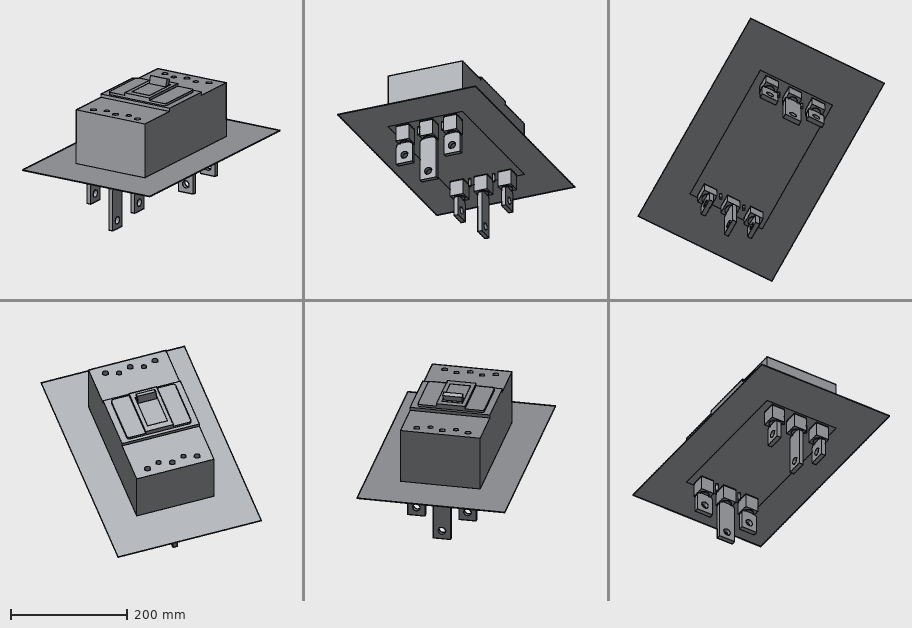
import cadquery as cq
import math


PANEL_X = 260.0
PANEL_Y = 416.0
PANEL_THICKNESS = 1.2

CASE_X = 140.0
CASE_Y = 260.5
CASE_HEIGHT = 97.8
STEP_Y = 102.5
STEP_HEIGHT = 6.0

COVER_X = 116.5
COVER_Y = 90.5
COVER_THICKNESS = 4.0
COVER_CORNER_RADIUS = 5.0
BAND_X = 50.5
BAND_THICKNESS = 4.5

WINDOW_X = 36.0
WINDOW_Y = 68.0
WINDOW_DEPTH = 0.2
LEVER_X = 33.5
LEVER_THICKNESS = 8.5
LEVER_TILT = math.radians(20)
LEVER_FRONT_Y = 19.5
LEVER_TOP_Z = 125.2

POLE_PITCH = 45.0
TERMINAL_Y = 114.0
TERMINAL_HOLE_DIAMETER = 10.0
MOUNTING_Y = 107.0
MOUNTING_HOLE_DIAMETER = 8.7
HOLE_FLOOR_Z = 16.5

SCREW_HEAD_HEIGHT = 5.0
SCREW_DIAMETER = 4.5
SCREW_END_Z = -14.5

BLOCK_SIDE = 24.5
BLOCK_END_Z = -28.5
NECK_DIAMETER = 18.7
NECK_LENGTH = 1.5
BLADE_WIDTH = 30.5
BLADE_THICKNESS = 8.0
BLADE_CORNER_RADIUS = 7.0
BLADE_HOLE_DIAMETER = 13.0
OUTER_BLADE_END_Z = -69.0
CENTRE_BLADE_END_Z = -109.5

STEP_TOP_Z = CASE_HEIGHT + STEP_HEIGHT
COVER_TOP_Z = STEP_TOP_Z + COVER_THICKNESS
BAND_TOP_Z = COVER_TOP_Z + BAND_THICKNESS
WINDOW_FLOOR_Z = BAND_TOP_Z - WINDOW_DEPTH
BLADE_TOP_Z = BLOCK_END_Z - NECK_LENGTH
ROW_SIDES = (-1, 1)
POLES = (-1, 0, 1)
STUD_POINTS = [(pole * POLE_PITCH, side * TERMINAL_Y) for side in ROW_SIDES for pole in POLES]
SCREW_POINTS = [(gap * POLE_PITCH / 2, side * MOUNTING_Y) for side in ROW_SIDES for gap in (-1, 1)]


def block(x_size, y_size, bottom_z, top_z):
    """A box centred on the Z axis between two heights."""
    return cq.Workplane("XY").workplane(offset=bottom_z).rect(x_size, y_size).extrude(top_z - bottom_z)


def rods(points, diameter, bottom_z, top_z):
    """Upright cylinders at the given points between two heights."""
    base = cq.Workplane("XY").workplane(offset=bottom_z).pushPoints(points)
    return base.circle(diameter / 2).extrude(top_z - bottom_z)


def make_panel():
    panel = block(PANEL_X, PANEL_Y, -PANEL_THICKNESS, 0)
    openings = cq.Workplane("XY").workplane(offset=-PANEL_THICKNESS).pushPoints(STUD_POINTS)
    panel = panel.cut(openings.rect(BLOCK_SIDE, BLOCK_SIDE).extrude(PANEL_THICKNESS))
    return panel.cut(rods(SCREW_POINTS, SCREW_DIAMETER, -PANEL_THICKNESS, 0))


def make_cover():
    """Round-cornered cover whose central band stands higher than its two sides."""
    cover = block(COVER_X, COVER_Y, STEP_TOP_Z, COVER_TOP_Z).edges("|Z").fillet(COVER_CORNER_RADIUS)
    band = block(BAND_X, COVER_Y, STEP_TOP_Z, BAND_TOP_Z)
    window = block(WINDOW_X, WINDOW_Y, WINDOW_FLOOR_Z, BAND_TOP_Z)
    return cover.union(band).cut(window)


def make_lever():
    """Lever leaning toward +Y, with its end face square to its sides."""
    front_top_y = LEVER_FRONT_Y + (LEVER_TOP_Z - WINDOW_FLOOR_Z) * math.tan(LEVER_TILT)
    back_top_y = front_top_y + LEVER_THICKNESS * math.cos(LEVER_TILT)
    back_top_z = LEVER_TOP_Z - LEVER_THICKNESS * math.sin(LEVER_TILT)
    back_y = LEVER_FRONT_Y + LEVER_THICKNESS / math.cos(LEVER_TILT)
    outline = [
        (LEVER_FRONT_Y, WINDOW_FLOOR_Z),
        (front_top_y, LEVER_TOP_Z),
        (back_top_y, back_top_z),
        (back_y, WINDOW_FLOOR_Z),
    ]
    return cq.Workplane("YZ").polyline(outline).close().extrude(LEVER_X / 2, both=True)


def make_stud(blade_end_z, blade_turn):
    """Stud on the Z axis; the blade is flat to the Y axis before it is turned."""
    stud = block(BLOCK_SIDE, BLOCK_SIDE, BLOCK_END_Z, 0)
    stud = stud.union(rods([(0, 0)], NECK_DIAMETER, BLADE_TOP_Z, BLOCK_END_Z))
    blade = block(BLADE_WIDTH, BLADE_THICKNESS, blade_end_z, BLADE_TOP_Z)
    blade = blade.edges("|Y and >Z").fillet(BLADE_CORNER_RADIUS)
    hole = cq.Workplane("XZ").center(0, blade_end_z + BLADE_WIDTH / 2).circle(BLADE_HOLE_DIAMETER / 2)
    blade = blade.cut(hole.extrude(BLADE_THICKNESS, both=True))
    return stud.union(blade.rotate((0, 0, 0), (0, 0, 1), blade_turn))


def make_breaker():
    breaker = block(CASE_X, CASE_Y, 0, CASE_HEIGHT)
    breaker = breaker.union(block(CASE_X, STEP_Y, CASE_HEIGHT, STEP_TOP_Z))
    breaker = breaker.union(make_cover()).union(make_lever())

    breaker = breaker.cut(rods(STUD_POINTS, TERMINAL_HOLE_DIAMETER, HOLE_FLOOR_Z, CASE_HEIGHT))
    breaker = breaker.cut(rods(SCREW_POINTS, MOUNTING_HOLE_DIAMETER, HOLE_FLOOR_Z, CASE_HEIGHT))
    breaker = breaker.cut(rods(SCREW_POINTS, SCREW_DIAMETER, 0, HOLE_FLOOR_Z))

    for x, y in STUD_POINTS:
        blade_end_z = CENTRE_BLADE_END_Z if x == 0 else OUTER_BLADE_END_Z
        blade_turn = 0 if y > 0 else 90
        breaker = breaker.union(make_stud(blade_end_z, blade_turn).translate((x, y, 0)))
    return breaker


def make_screw(point):
    """Screw whose head fills the bottom of its mounting hole and whose end stands below the panel."""
    shank = rods([point], SCREW_DIAMETER, SCREW_END_Z, HOLE_FLOOR_Z)
    head = rods([point], MOUNTING_HOLE_DIAMETER, HOLE_FLOOR_Z, HOLE_FLOOR_Z + SCREW_HEAD_HEIGHT)
    return shank.union(head)


panel = make_panel()
breaker = make_breaker()
screws = [make_screw(point) for point in SCREW_POINTS]

result = cq.Compound.makeCompound([panel.val(), breaker.val(), *[screw.val() for screw in screws]])